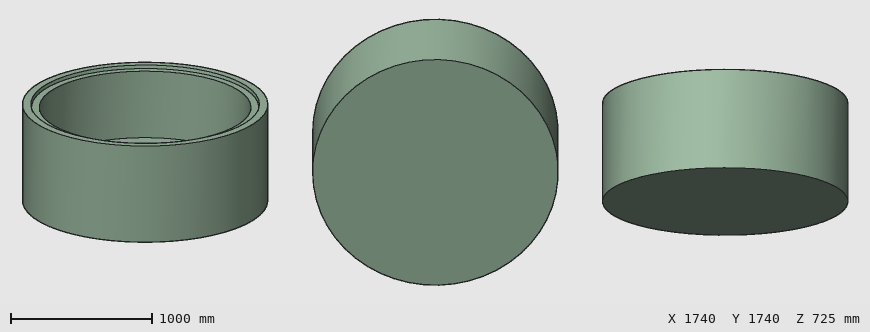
import cadquery as cq

outer_diameter = 1740.0
height = 725.0

cavity_diameter = 1500.0
cavity_depth = 525.0

seat_top_diameter = 1620.0
seat_ledge_diameter = 1610.0
seat_depth = 25.0


def make_drum():
    """Solid cylinder standing on the base plane, centred on Z."""
    return cq.Workplane("XY").circle(outer_diameter / 2).extrude(height)


def make_cavity():
    """Round cavity, open at the top."""
    floor_height = height - cavity_depth
    return (
        cq.Workplane("XY")
        .workplane(offset=floor_height)
        .circle(cavity_diameter / 2)
        .extrude(cavity_depth)
    )


def make_rim_seat():
    """Tapered disc that forms the ledge inside the rim."""
    return (
        cq.Workplane("XY")
        .workplane(offset=height - seat_depth)
        .circle(seat_ledge_diameter / 2)
        .workplane(offset=seat_depth)
        .circle(seat_top_diameter / 2)
        .loft(ruled=True)
    )


result = make_drum().cut(make_cavity()).cut(make_rim_seat())